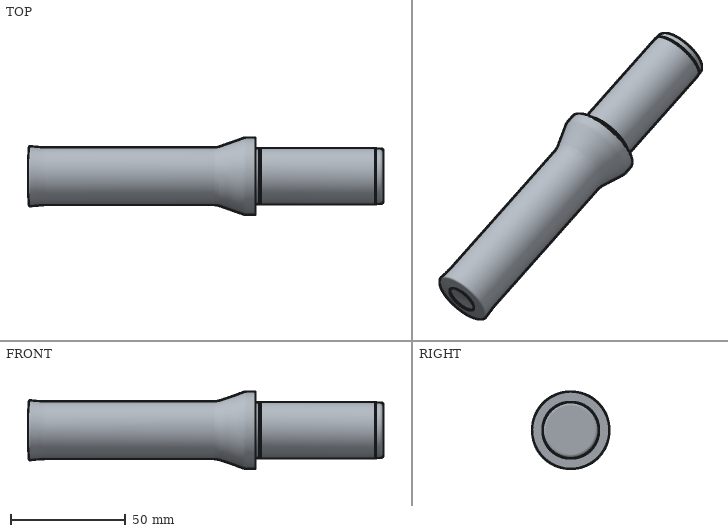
import cadquery as cq
import math

LENGTH = 156.0
BODY_RADIUS = 25.5 / 2
COLLAR_RADIUS = 34.0 / 2
SHANK_RADIUS = 25.0 / 2
RELIEF_RADIUS = 24.5 / 2

FLARE_END_X = 6.9
FLARE_ANGLE = 5.0
FLARE_BLEND_LENGTH = 1.0
HEAD_EDGE_FILLET = 0.8
CROWN_HEIGHT = 0.5
DISH_RADIUS = 6.9
DISH_DEPTH = 0.8
DISH_RIM_CHAMFER = 0.3
FLARE_SLOPE = math.tan(math.radians(FLARE_ANGLE))
FLARE_RADIUS = BODY_RADIUS + (FLARE_END_X - CROWN_HEIGHT) * FLARE_SLOPE

CONE_START_X = 83.0
CONE_END_X = 95.2
COLLAR_END_X = 99.8
CONE_FOOT_FILLET = 6.0
CONE_TOP_FILLET = 2.8
COLLAR_EDGE_FILLET = 0.5

RING_SECTION_RADIUS = 0.7
GROOVE_WIDTH = 2 * RING_SECTION_RADIUS
GROOVE_FLOOR_RADIUS = SHANK_RADIUS - GROOVE_WIDTH
GROOVE_END_X = COLLAR_END_X + GROOVE_WIDTH

SHANK_START_X = 102.2
SHANK_END_X = 152.3
RELIEF_TAPER = 0.5
TIP_FILLET = 1.5

MATCH_TOLERANCE = 0.02


def is_circle_at(edge, x, radius):
    """Tell whether an edge is the circle of the given radius at the given X."""
    if edge.geomType() != "CIRCLE":
        return False
    same_place = abs(edge.startPoint().x - x) < MATCH_TOLERANCE
    same_size = abs(edge.radius() - radius) < MATCH_TOLERANCE
    return same_place and same_size


def make_pin():
    """Revolve the half profile about X, then round its edges."""
    blend_setback = FLARE_BLEND_LENGTH * math.cos(math.radians(FLARE_ANGLE))
    blend_start = (FLARE_END_X - blend_setback, BODY_RADIUS + blend_setback * FLARE_SLOPE)
    pin = (
        cq.Workplane("XY")
        .moveTo(DISH_DEPTH, 0)
        .lineTo(DISH_RIM_CHAMFER, DISH_RADIUS - DISH_RIM_CHAMFER)
        .lineTo(0, DISH_RADIUS)
        .lineTo(CROWN_HEIGHT, FLARE_RADIUS)
        .lineTo(*blend_start)
        .tangentArcPoint((FLARE_END_X + FLARE_BLEND_LENGTH, BODY_RADIUS), relative=False)
        .lineTo(CONE_START_X, BODY_RADIUS)
        .lineTo(CONE_END_X, COLLAR_RADIUS)
        .lineTo(COLLAR_END_X, COLLAR_RADIUS)
        .lineTo(COLLAR_END_X, GROOVE_FLOOR_RADIUS)
        .lineTo(GROOVE_END_X, GROOVE_FLOOR_RADIUS)
        .lineTo(GROOVE_END_X, RELIEF_RADIUS)
        .lineTo(SHANK_START_X - RELIEF_TAPER, RELIEF_RADIUS)
        .lineTo(SHANK_START_X, SHANK_RADIUS)
        .lineTo(SHANK_END_X, SHANK_RADIUS)
        .lineTo(SHANK_END_X + RELIEF_TAPER, RELIEF_RADIUS)
        .lineTo(LENGTH, RELIEF_RADIUS)
        .lineTo(LENGTH, 0)
        .close()
        .revolve(360, (0, 0, 0), (1, 0, 0))
    )
    rounded_edges = [
        (CROWN_HEIGHT, FLARE_RADIUS, HEAD_EDGE_FILLET),
        (CONE_START_X, BODY_RADIUS, CONE_FOOT_FILLET),
        (CONE_END_X, COLLAR_RADIUS, CONE_TOP_FILLET),
        (COLLAR_END_X, COLLAR_RADIUS, COLLAR_EDGE_FILLET),
        (LENGTH, RELIEF_RADIUS, TIP_FILLET),
    ]
    for x, radius, fillet_radius in rounded_edges:
        corner = pin.edges().filter(lambda edge: is_circle_at(edge, x, radius))
        pin = corner.fillet(fillet_radius)
    return pin


def make_o_ring():
    """Round-section ring that fills the groove and is level with the shank."""
    axis_offset = RING_SECTION_RADIUS - SHANK_RADIUS
    return (
        cq.Workplane("XY")
        .center(COLLAR_END_X + RING_SECTION_RADIUS, SHANK_RADIUS - RING_SECTION_RADIUS)
        .circle(RING_SECTION_RADIUS)
        .revolve(360, (0, axis_offset, 0), (1, axis_offset, 0))
    )


pin = make_pin()
o_ring = make_o_ring()

result = cq.Compound.makeCompound([pin.val(), o_ring.val()])